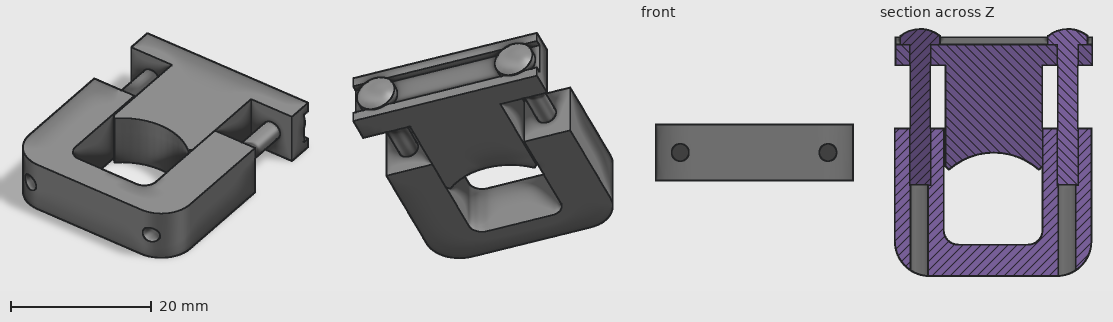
import cadquery as cq

TOTAL_LENGTH = 35.2
THICKNESS = 8.0
WIDTH = 28.0

YOKE_LENGTH = 21.05
YOKE_FLOOR = 4.5
GAP_WIDTH = 14.0
OUTER_RADIUS = 5.0
INNER_RADIUS = 2.0
TAP_DIAMETER = 2.45

TONGUE_WIDTH = 13.8
SLIDER_BACK = 34.0
CROSSBAR_DEPTH = 4.0
TONGUE_TIP = 15.13
SADDLE_TOP = 17.55
TIP_CHAMFER = 0.5
GROOVE_WIDTH = 4.93
GROOVE_DEPTH = 1.02

SLIDER_OFFSET = (GAP_WIDTH - TONGUE_WIDTH) / 2

SCREW_SPACING = 21.0
SHANK_DIAMETER = 2.92
SHANK_LENGTH = 20.0
HEAD_DIAMETER = 5.7
RIM_HEIGHT = 1.2

SCREW_SEAT = SLIDER_BACK - GROOVE_DEPTH
SHANK_END = SCREW_SEAT - SHANK_LENGTH
DOME_HEIGHT = TOTAL_LENGTH - SCREW_SEAT - RIM_HEIGHT
SCREW_SIDES = (-SCREW_SPACING / 2, SCREW_SPACING / 2)
SCREW_POSITIONS = [SLIDER_OFFSET + side for side in SCREW_SIDES]


def block(width, y_start, y_end, height, x_centre=0.0):
    """Box between two Y positions, centred on Z = 0."""
    length = y_end - y_start
    return cq.Workplane("XY").box(width, length, height).translate((x_centre, y_start + length / 2, 0))


def rod(x, y_start, y_end, diameter):
    """Cylinder along Y between two Y positions."""
    return (
        cq.Workplane("XZ", origin=(x, y_start, 0))
        .circle(diameter / 2)
        .extrude(y_start - y_end)
    )


def make_yoke():
    outside = block(WIDTH, 0, YOKE_LENGTH, THICKNESS).edges("|Z and <Y").fillet(OUTER_RADIUS)
    gap = block(GAP_WIDTH, YOKE_FLOOR, YOKE_LENGTH, THICKNESS).edges("|Z and <Y").fillet(INNER_RADIUS)
    yoke = outside.cut(gap)
    for side in SCREW_SIDES:
        yoke = yoke.cut(rod(side, 0, SHANK_END, TAP_DIAMETER))
        yoke = yoke.cut(rod(SLIDER_OFFSET + side, SHANK_END, YOKE_LENGTH, SHANK_DIAMETER))
    return yoke


def make_slider():
    half_bar = WIDTH / 2
    half_tongue = TONGUE_WIDTH / 2
    half_saddle = half_tongue - TIP_CHAMFER
    crossbar_front = SLIDER_BACK - CROSSBAR_DEPTH
    chamfer_start = TONGUE_TIP + TIP_CHAMFER
    slider = (
        cq.Workplane("XY", origin=(SLIDER_OFFSET, 0, -THICKNESS / 2))
        .moveTo(-half_bar, SLIDER_BACK)
        .lineTo(-half_bar, crossbar_front)
        .lineTo(-half_tongue, crossbar_front)
        .lineTo(-half_tongue, chamfer_start)
        .lineTo(-half_saddle, TONGUE_TIP)
        .threePointArc((0, SADDLE_TOP), (half_saddle, TONGUE_TIP))
        .lineTo(half_tongue, chamfer_start)
        .lineTo(half_tongue, crossbar_front)
        .lineTo(half_bar, crossbar_front)
        .lineTo(half_bar, SLIDER_BACK)
        .close()
        .extrude(THICKNESS)
    )
    groove = block(WIDTH, SCREW_SEAT, SLIDER_BACK, GROOVE_WIDTH, SLIDER_OFFSET)
    slider = slider.cut(groove)
    for x in SCREW_POSITIONS:
        slider = slider.cut(rod(x, SCREW_SEAT, SLIDER_BACK, HEAD_DIAMETER))
        slider = slider.cut(rod(x, crossbar_front, SCREW_SEAT, SHANK_DIAMETER))
    return slider


def make_screw(x):
    """Domed screw, revolved about its own axis along Y."""
    shank_radius = SHANK_DIAMETER / 2
    head_radius = HEAD_DIAMETER / 2
    rim_top = SCREW_SEAT + RIM_HEIGHT
    dome_radius = (head_radius**2 + DOME_HEIGHT**2) / (2 * DOME_HEIGHT)
    sphere_centre = TOTAL_LENGTH - dome_radius
    arc_x = head_radius / 2
    arc_y = sphere_centre + (dome_radius**2 - arc_x**2) ** 0.5
    return (
        cq.Workplane("XY", origin=(x, 0, 0))
        .moveTo(0, SHANK_END)
        .lineTo(shank_radius, SHANK_END)
        .lineTo(shank_radius, SCREW_SEAT)
        .lineTo(head_radius, SCREW_SEAT)
        .lineTo(head_radius, rim_top)
        .threePointArc((arc_x, arc_y), (0, TOTAL_LENGTH))
        .close()
        .revolve(360, (0, 0, 0), (0, 1, 0))
    )


yoke = make_yoke()
slider = make_slider()
screws = [make_screw(x) for x in SCREW_POSITIONS]

result = cq.Compound.makeCompound([yoke.val(), slider.val(), *[screw.val() for screw in screws]])